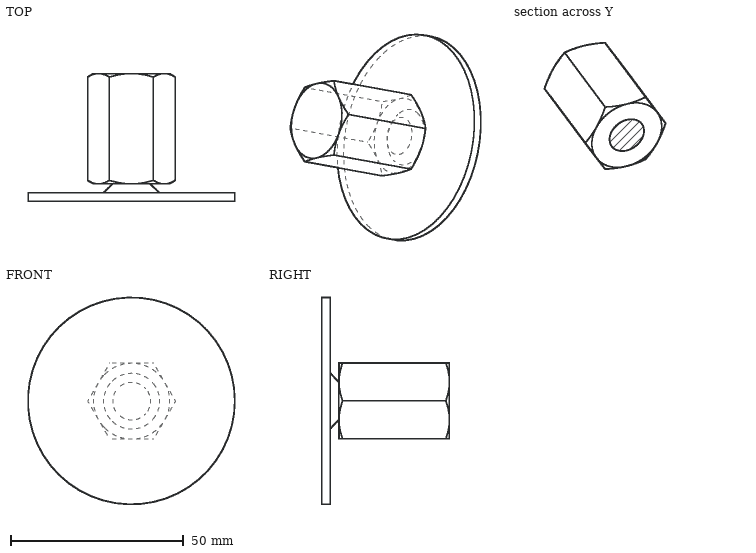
import cadquery as cq
import math

plate_diameter = 60.0
plate_thickness = 2.5
neck_base_diameter = 16.2
neck_length = 2.5
neck_tip_diameter = 10.9

overall_length = 37.0
nut_across_flats = 22.0
nut_across_corners = nut_across_flats / math.cos(math.pi / 6)
nut_start = plate_thickness + neck_length
nut_length = overall_length - nut_start

chamfer_depth = 1.0
chamfer_width = (nut_across_corners - nut_across_flats) / 2


def make_plate():
    """Revolve the disc and its neck around the Y axis."""
    plate_radius = plate_diameter / 2
    return (
        cq.Workplane("XY")
        .lineTo(plate_radius, 0)
        .lineTo(plate_radius, plate_thickness)
        .lineTo(neck_base_diameter / 2, plate_thickness)
        .lineTo(neck_tip_diameter / 2, nut_start)
        .lineTo(0, nut_start)
        .close()
        .revolve(360, (0, 0), (0, 1))
    )


def make_nut():
    """Hexagonal prism with corners on the X axis, chamfered at both ends."""
    hexagon = (
        cq.Workplane("XZ", origin=(0, nut_start, 0))
        .polygon(6, nut_across_corners)
        .extrude(-nut_length)
    )
    chamfered_cylinder = (
        cq.Workplane("XZ", origin=(0, nut_start, 0))
        .circle(nut_across_corners / 2)
        .extrude(-nut_length)
        .faces("<Y or >Y")
        .edges()
        .chamfer(chamfer_depth, chamfer_width)
    )
    return hexagon.intersect(chamfered_cylinder)


plate = make_plate()
nut = make_nut()

result = cq.Compound.makeCompound([plate.val(), nut.val()])